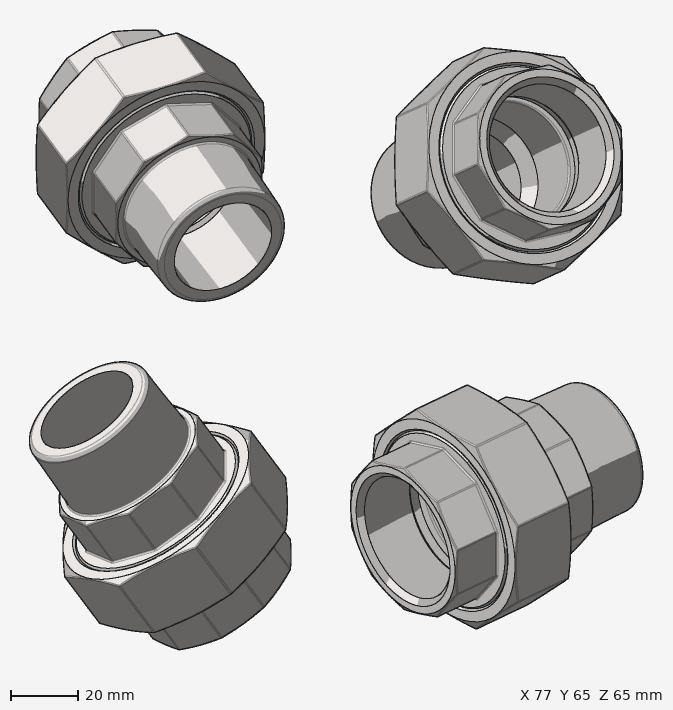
import cadquery as cq
import math


grip_length = 16.0
nut_width = 22.0
overall_length = 77.0

nut_sides = 8
nut_across_flats = 65.0
nut_face_diameter = 64.6
nut_turn = 22.5
grip_sides = 10
grip_across_flats = 48.0
grip_face_diameter = 47.2
grip_turn = 90.0
end_chamfer_angle = 20.0
corner_radius = 0.8
chamfer_edge_radius = 0.4

collar_face_diameter = 55.5
joint_diameter = 56.75
nut_mouth_diameter = 58.0
collar_chamfer = (joint_diameter - collar_face_diameter) / 2
nut_mouth_chamfer = (nut_mouth_diameter - joint_diameter) / 2
root_radius = 0.5
female_collar_length = 7.1
joint_gap = 1.7

female_mouth_diameter = 42.5
thread_bore_diameter = 38.95
thread_depth = 19.4
relief_diameter = 40.2
relief_cone_angle = 40.0

spigot_base_diameter = 42.9
spigot_taper = 1 / 16
spigot_tip_radius = 1.5
male_bore_diameter = 32.0
male_mouth_diameter = 38.0
male_mouth_depth = 20.0
male_mouth_radius = 0.5
male_cone_angle = 30.0

nut_start = grip_length
nut_end = nut_start + nut_width
female_end = nut_start + female_collar_length
male_start = female_end + joint_gap
spigot_start = nut_end + grip_length
spigot_tip_diameter = spigot_base_diameter - spigot_taper * (overall_length - spigot_start)


def turned(points):
    """Solid of revolution about X from (station, radius) points that start and end on the axis."""
    return cq.Workplane("XY").polyline(points).close().revolve(360, (0, 0, 0), (1, 0, 0))


def disc(start, end, diameter):
    """Cylinder about X between two stations."""
    return cq.Workplane("YZ", origin=(start, 0, 0)).circle(diameter / 2).extrude(end - start)


def cone(start, end, start_diameter, end_diameter):
    """Cone frustum about X between two stations."""
    return turned([(start, 0), (start, start_diameter / 2), (end, end_diameter / 2), (end, 0)])


def cone_length(first_diameter, second_diameter, angle):
    """Axial length of the cone that joins two bores at the given angle to the axis."""
    return abs(first_diameter - second_diameter) / 2 / math.tan(math.radians(angle))


def polygon_bar(length, sides, across_flats, turn, face_diameter):
    """Polygon prism from the origin along X with rounded corners and a conical chamfer at the far end.

    turn is the angle of one corner from +Y about the axis.
    """
    corner_diameter = across_flats / math.cos(math.pi / sides)
    setback = (corner_diameter - face_diameter) / 2 * math.tan(math.radians(end_chamfer_angle))
    prism = cq.Workplane("YZ").polygon(sides, corner_diameter).extrude(length)
    prism = prism.edges("|X").fillet(corner_radius).rotate((0, 0, 0), (1, 0, 0), turn)
    envelope = disc(0, length - setback, corner_diameter).union(
        cone(length - setback, length, corner_diameter, face_diameter)
    )
    bar = prism.intersect(envelope)
    return bar.edges("%HYPERBOLA or %BSPLINE").fillet(chamfer_edge_radius)


def grip():
    """Decagonal wrench grip, chamfered at its far end."""
    return polygon_bar(grip_length, grip_sides, grip_across_flats, grip_turn, grip_face_diameter)


def collar(start, end):
    """Joint collar whose rims are chamfered."""
    return disc(start, end, joint_diameter).faces("<X or >X").chamfer(collar_chamfer)


def rim_selector(diameter):
    """Box that holds only what lies within the given diameter about X."""
    half = diameter / 2 + 0.01
    reach = overall_length
    return cq.selectors.BoxSelector((-reach, -half, -half), (reach, half, half), boundingbox=True)


def root_fillet(body, station, outline_diameter):
    """Fillet the outline, no larger than outline_diameter, that stands on the shoulder at a station."""
    half = outline_diameter / 2 + 0.5
    corner = (station - 0.01, -half, -half)
    opposite = (station + 0.01, half, half)
    box = cq.selectors.BoxSelector(corner, opposite, boundingbox=True)
    return body.edges(box).fillet(root_radius)


def make_nut():
    half_width = nut_width / 2
    half = polygon_bar(half_width, nut_sides, nut_across_flats, nut_turn, nut_face_diameter)
    body = half.union(half.mirror("YZ")).translate((nut_start + half_width, 0, 0))
    body = body.cut(disc(nut_start, nut_end, joint_diameter))
    for face, inside in ((nut_start, 1), (nut_end, -1)):
        inner_station = face + inside * nut_mouth_chamfer
        body = body.cut(cone(face, inner_station, nut_mouth_diameter, joint_diameter))
    return body


def make_female_end():
    outer_grip = grip().mirror("YZ").translate((nut_start, 0, 0))
    body = outer_grip.union(collar(nut_start, female_end))
    body = root_fillet(body, nut_start, grip_across_flats + 2)
    mouth_depth = (female_mouth_diameter - thread_bore_diameter) / 2
    body = body.cut(cone(0, mouth_depth, female_mouth_diameter, thread_bore_diameter))
    body = body.cut(disc(0, thread_depth, thread_bore_diameter))
    relief_start = thread_depth + cone_length(thread_bore_diameter, relief_diameter, relief_cone_angle)
    body = body.cut(cone(thread_depth, relief_start, thread_bore_diameter, relief_diameter))
    return body.cut(disc(relief_start, female_end, relief_diameter))


def make_male_end():
    outer_grip = grip().translate((nut_end, 0, 0))
    body = collar(male_start, nut_end).union(outer_grip)
    body = root_fillet(body, nut_end, grip_across_flats + 2)
    spigot = cone(spigot_start, overall_length, spigot_base_diameter, spigot_tip_diameter)
    spigot = spigot.faces(">X").edges().fillet(spigot_tip_radius)
    body = root_fillet(body.union(spigot), spigot_start, spigot_base_diameter)
    cone_start = male_start + male_mouth_depth
    cone_end = cone_start + cone_length(male_mouth_diameter, male_bore_diameter, male_cone_angle)
    body = body.cut(disc(male_start, cone_start, male_mouth_diameter))
    body = body.cut(cone(cone_start, cone_end, male_mouth_diameter, male_bore_diameter))
    body = body.cut(disc(cone_end, overall_length, male_bore_diameter))
    mouth_rim = body.faces("<X").edges(rim_selector(male_mouth_diameter))
    return mouth_rim.fillet(male_mouth_radius)


nut = make_nut()
female = make_female_end()
male = make_male_end()
result = cq.Compound.makeCompound([nut.val(), female.val(), male.val()])